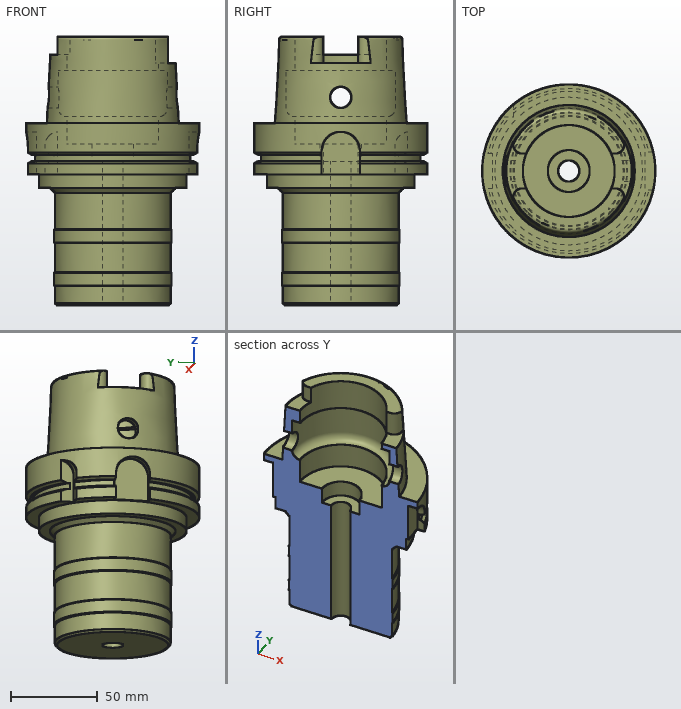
import cadquery as cq
import math

total_length = 155.0

taper_length = 49.9
taper_base_radius = 38.1
taper_tip_radius = 35.5
taper_tip_fillet = 2.0

flange_diameter = 100.0
flange_radius = flange_diameter / 2
flange_thickness = 29.5
groove_start = 16.9
groove_width = 6.4
groove_lead_in = 1.4
groove_flank_angle = 60.0
groove_root_radius = 46.0

collar_radius = 42.6
collar_thickness = 7.9
relief_radius = 36.3
relief_height = 2.8

shank_radius = 33.5
shank_chamfer = 1.4
band_radius = 34.0
band_width = 8.0
band_bottoms = (11.2, 36.0)

bore_radius = 26.5
bore_depth = 62.0
undercut_radius = 31.5
undercut_start = 19.5
undercut_end = 46.2
undercut_fillet = undercut_radius - bore_radius
counterbore_radius = 12.1
counterbore_depth = 10.0
through_hole_radius = 6.0

drive_slot_half_width = 10.0
drive_slot_round = 5.0
drive_slot_shoulder = 32.0
drive_slot_depth_minus_x = 10.4
drive_slot_depth_plus_x = 15.3

cross_hole_radius = 6.0
cross_hole_depth = 35.0

keyway_top = 5.0
keyway_floor = 44.0
keyway_radius_minus_x = 10.0
keyway_radius_plus_x = 11.0
notch_radius = 8.5
notch_center_y = 39.7
notch_floor = 31.8

flange_face = total_length - taper_length
flange_bottom = flange_face - flange_thickness
collar_bottom = flange_bottom - collar_thickness
groove_top = flange_face - groove_start
groove_bottom = groove_top - groove_width
groove_edge_radius = flange_radius - groove_lead_in * math.tan(math.radians(groove_flank_angle))


def disc(radius, bottom, top):
    """Cylinder on the part axis between two levels."""
    return cq.Workplane("XY").workplane(offset=bottom).circle(radius).extrude(top - bottom)


def make_taper():
    """Cone standing on the flange face, rounded at its tip."""
    taper = (
        cq.Workplane("XY")
        .workplane(offset=flange_face)
        .circle(taper_base_radius)
        .workplane(offset=taper_length)
        .circle(taper_tip_radius)
        .loft(ruled=True)
    )
    return taper.faces(">Z").edges().fillet(taper_tip_fillet)


def make_body():
    """Flange, collar and shank, turned from one half profile."""
    profile = [
        (0, 0),
        (shank_radius - shank_chamfer, 0),
        (shank_radius, shank_chamfer),
        (shank_radius, collar_bottom - relief_height),
        (relief_radius, collar_bottom),
        (collar_radius, collar_bottom),
        (collar_radius, flange_bottom),
        (flange_radius, flange_bottom),
        (flange_radius, groove_bottom),
        (groove_edge_radius, groove_bottom + groove_lead_in),
        (groove_root_radius, groove_bottom + groove_lead_in),
        (groove_root_radius, groove_top - groove_lead_in),
        (groove_edge_radius, groove_top - groove_lead_in),
        (flange_radius, groove_top),
        (flange_radius, flange_face),
        (0, flange_face),
    ]
    return cq.Workplane("XZ").polyline(profile).close().revolve(360, (0, 0), (0, 1))


def make_band(bottom):
    """Raised band with 45 degree edges that run out on the shank."""
    band = disc(band_radius, bottom, bottom + band_width)
    return band.faces("<Z or >Z").chamfer(band_radius - shank_radius)


def make_cavity():
    """Bore with a wider undercut whose lower corner curves back in to the bore."""
    floor = total_length - bore_depth
    bore = disc(bore_radius, floor, total_length)
    undercut = disc(undercut_radius, total_length - undercut_end, total_length - undercut_start)
    undercut = undercut.faces("<Z").edges().fillet(undercut_fillet)
    counterbore = disc(counterbore_radius, floor - counterbore_depth, floor)
    through_hole = disc(through_hole_radius, 0, floor)
    return bore.union(undercut).union(counterbore).union(through_hole)


def make_drive_slot(side, depth):
    """Slot on the +X (side = 1) or -X (side = -1) wall, flaring outward over rounded corners."""
    round_start = drive_slot_shoulder - drive_slot_round
    round_center_y = drive_slot_half_width + drive_slot_round
    arc_mid_x = round_start + drive_slot_round * math.sin(math.pi / 4)
    arc_mid_y = round_center_y - drive_slot_round * math.cos(math.pi / 4)
    outer = taper_base_radius
    return (
        cq.Workplane("XY")
        .workplane(offset=total_length - depth)
        .moveTo(0, -drive_slot_half_width)
        .lineTo(side * round_start, -drive_slot_half_width)
        .threePointArc((side * arc_mid_x, -arc_mid_y), (side * drive_slot_shoulder, -round_center_y))
        .lineTo(side * drive_slot_shoulder, -outer)
        .lineTo(side * outer, -outer)
        .lineTo(side * outer, outer)
        .lineTo(side * drive_slot_shoulder, outer)
        .lineTo(side * drive_slot_shoulder, round_center_y)
        .threePointArc((side * arc_mid_x, arc_mid_y), (side * round_start, drive_slot_half_width))
        .lineTo(0, drive_slot_half_width)
        .close()
        .extrude(depth)
    )


def make_cross_hole():
    """Round hole along X through both taper walls."""
    return (
        cq.Workplane("YZ")
        .center(0, total_length - cross_hole_depth)
        .circle(cross_hole_radius)
        .extrude(taper_base_radius, both=True)
    )


def make_keyway(side, radius, center_y, floor):
    """Round-topped keyway, open at the flange bottom, with a flat floor facing +X or -X."""
    arch_center = flange_face - keyway_top - radius
    return (
        cq.Workplane("YZ")
        .workplane(offset=side * floor)
        .moveTo(center_y - radius, flange_bottom)
        .lineTo(center_y - radius, arch_center)
        .threePointArc((center_y, arch_center + radius), (center_y + radius, arch_center))
        .lineTo(center_y + radius, flange_bottom)
        .close()
        .extrude(side * (flange_radius - floor))
    )


result = make_body().union(make_taper())
for band_bottom in band_bottoms:
    result = result.union(make_band(band_bottom))

result = (
    result.cut(make_cavity())
    .cut(make_drive_slot(-1, drive_slot_depth_minus_x))
    .cut(make_drive_slot(1, drive_slot_depth_plus_x))
    .cut(make_cross_hole())
    .cut(make_keyway(-1, keyway_radius_minus_x, 0, keyway_floor))
    .cut(make_keyway(1, keyway_radius_plus_x, 0, keyway_floor))
    .cut(make_keyway(-1, notch_radius, notch_center_y, notch_floor))
)